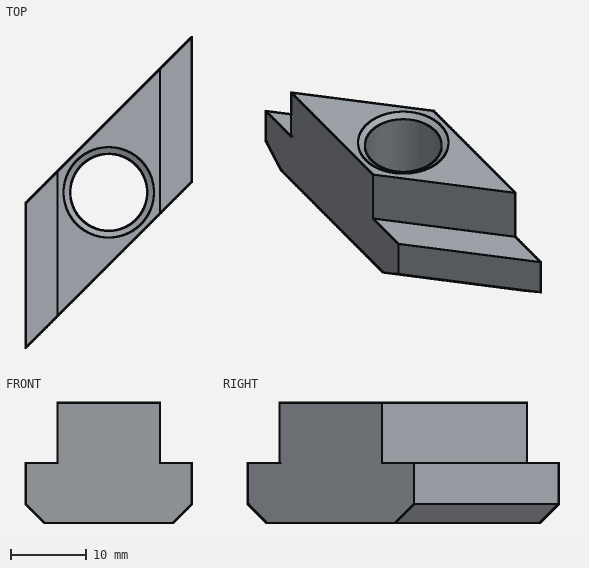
import cadquery as cq

width = 22.0
length = 41.25
height = 16.0

neck_width = 13.6
flange_height = height / 2
bottom_chamfer = 2.5

bore_diameter = 10.2
countersink_diameter = 12.0
countersink_angle = 120.0


def slot_profile():
    """T-shaped section in XZ, extruded along the full length in Y."""
    half_width = width / 2
    half_neck = neck_width / 2
    half_base = half_width - bottom_chamfer
    right_side = [
        (half_base, 0),
        (half_width, bottom_chamfer),
        (half_width, flange_height),
        (half_neck, flange_height),
        (half_neck, height),
    ]
    left_side = [(-x, z) for x, z in reversed(right_side)]
    return (
        cq.Workplane("XZ")
        .polyline(right_side + left_side)
        .close()
        .extrude(length / 2, both=True)
    )


def rhomboid():
    """Plan outline whose slanted ends run at 45 degrees to the slot."""
    half_width = width / 2
    half_length = length / 2
    inner_corner = half_length - width
    corners = [
        (-half_width, -half_length),
        (half_width, -inner_corner),
        (half_width, half_length),
        (-half_width, inner_corner),
    ]
    return cq.Workplane("XY").polyline(corners).close().extrude(height)


body = slot_profile().intersect(rhomboid())

result = (
    body.faces(">Z")
    .workplane(origin=(0, 0, height))
    .cskHole(bore_diameter, countersink_diameter, countersink_angle)
)